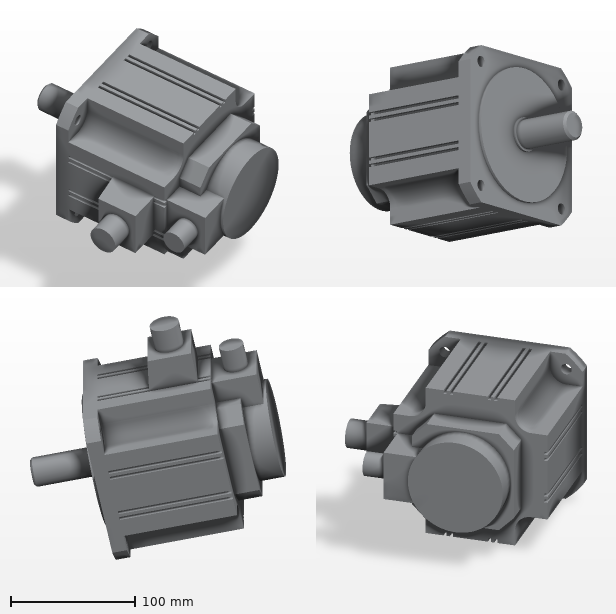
import cadquery as cq
import math


shaft_length = 55.0
flange_thickness = 12.0
body_length = 105.0
rear_plate_thickness = 20.0
rear_cap_length = 20.0
mount_face_x = shaft_length
flange_back_x = mount_face_x + flange_thickness
body_end_x = mount_face_x + body_length
rear_plate_end_x = body_end_x + rear_plate_thickness

shaft_diameter = 24.0
shaft_chamfer = 2.0
collar_diameter = 28.0
collar_thickness = 2.0

body_width = 130.0
flange_corner_diameter = 165.0
pilot_diameter = 110.0
pilot_thickness = 3.0
bolt_circle_diameter = 145.0
bolt_hole_diameter = 9.2
pilot_face_x = mount_face_x - pilot_thickness
bolt_offset = bolt_circle_diameter / 2 * math.cos(math.radians(45))

channel_radius = 13.5
groove_width = 2.5
groove_depth = 3.0
groove_offsets = (16.0, 21.5)

rear_plate_width = 86.0
rear_plate_chamfer = 12.5
rear_cap_diameter = 80.0

box_height = 41.5
plug_length = 20.0

power_box_depth = 26.0
power_box_root_x = 109.0
power_box_tip_x = 113.5
power_box_end_x = 149.5
power_plug_x = 131.5
power_plug_diameter = 24.0
power_box_face_y = -body_width / 2 - power_box_depth

signal_box_end_x = 197.0
signal_box_face_y = -61.5
signal_plug_x = rear_plate_end_x
signal_plug_diameter = 20.0


def section_at(x):
    """Plane across the axis at x, with local x along +Y and local y along +Z."""
    return cq.Workplane("YZ", origin=(x, 0, 0))


def make_shaft():
    collar_x = pilot_face_x - collar_thickness
    shaft = section_at(0).circle(shaft_diameter / 2).extrude(collar_x)
    shaft = shaft.faces("<X").chamfer(shaft_chamfer)
    collar = section_at(collar_x).circle(collar_diameter / 2).extrude(collar_thickness)
    return shaft.union(collar)


def make_flange():
    flange = section_at(mount_face_x).rect(body_width, body_width).extrude(flange_thickness)
    corner_disc = section_at(mount_face_x).circle(flange_corner_diameter / 2).extrude(flange_thickness)
    pilot = section_at(pilot_face_x).circle(pilot_diameter / 2).extrude(pilot_thickness)
    bolt_holes = (
        section_at(mount_face_x)
        .rect(2 * bolt_offset, 2 * bolt_offset, forConstruction=True)
        .vertices()
        .circle(bolt_hole_diameter / 2)
        .extrude(flange_thickness)
    )
    return flange.intersect(corner_disc).cut(bolt_holes).union(pilot)


def make_corner_channel():
    """Square channel at the +Y +Z corner, with a rounded inner edge concentric with the bolt hole."""
    channel_wall = bolt_offset - channel_radius
    channel_size = body_width / 2 - channel_wall
    channel = (
        section_at(flange_back_x)
        .center(channel_wall, channel_wall)
        .rect(channel_size, channel_size, centered=False)
        .extrude(body_end_x - flange_back_x)
    )
    return channel.edges("|X and <Y and <Z").fillet(channel_radius)


def make_top_grooves():
    """The two pairs of grooves in the +Z side."""
    middle_z = body_width / 2 - groove_depth / 2
    positions = [(side * offset, middle_z) for side in (-1, 1) for offset in groove_offsets]
    return (
        section_at(flange_back_x)
        .pushPoints(positions)
        .rect(groove_width, groove_depth)
        .extrude(body_end_x - flange_back_x)
    )


def make_finned_body():
    body = section_at(flange_back_x).rect(body_width, body_width).extrude(body_end_x - flange_back_x)
    corner_channel = make_corner_channel()
    top_grooves = make_top_grooves()
    for quarter_turn in (0, 90, 180, 270):
        body = body.cut(corner_channel.rotate((0, 0, 0), (1, 0, 0), quarter_turn))
        body = body.cut(top_grooves.rotate((0, 0, 0), (1, 0, 0), quarter_turn))
    return body


def make_rear():
    plate = section_at(body_end_x).rect(rear_plate_width, rear_plate_width).extrude(rear_plate_thickness)
    plate = plate.edges("|X").chamfer(rear_plate_chamfer)
    cap = section_at(rear_plate_end_x).circle(rear_cap_diameter / 2).extrude(rear_cap_length)
    return plate.union(cap)


def make_plug(x, face_y, diameter):
    """Round plug pointing along -Y from a connector box face."""
    return cq.Workplane("XZ", origin=(x, face_y, 0)).circle(diameter / 2).extrude(plug_length)


def make_power_box():
    """Box with a sloping front that is seated as deep as the groove floors."""
    root_y = groove_depth - body_width / 2
    return (
        cq.Workplane("XY")
        .moveTo(power_box_root_x, root_y)
        .lineTo(power_box_tip_x, power_box_face_y)
        .lineTo(power_box_end_x, power_box_face_y)
        .lineTo(power_box_end_x, root_y)
        .close()
        .extrude(box_height / 2, both=True)
    )


def make_power_connector():
    return make_power_box().union(make_plug(power_plug_x, power_box_face_y, power_plug_diameter))


def make_signal_connector():
    """Box that runs from its outer face in to the motor axis, where the rear plate and cap enclose it."""
    box = cq.Workplane("XY").box(
        signal_box_end_x - body_end_x, -signal_box_face_y, box_height, centered=(False, False, True)
    )
    box = box.translate((body_end_x, signal_box_face_y, 0))
    return box.union(make_plug(signal_plug_x, signal_box_face_y, signal_plug_diameter))


def make_motor():
    motor = make_shaft().union(make_flange()).union(make_finned_body()).union(make_rear())
    motor = motor.union(make_signal_connector())
    return motor.cut(make_power_box())


motor = make_motor()
power_connector = make_power_connector()
result = cq.Compound.makeCompound([motor.val(), power_connector.val()])